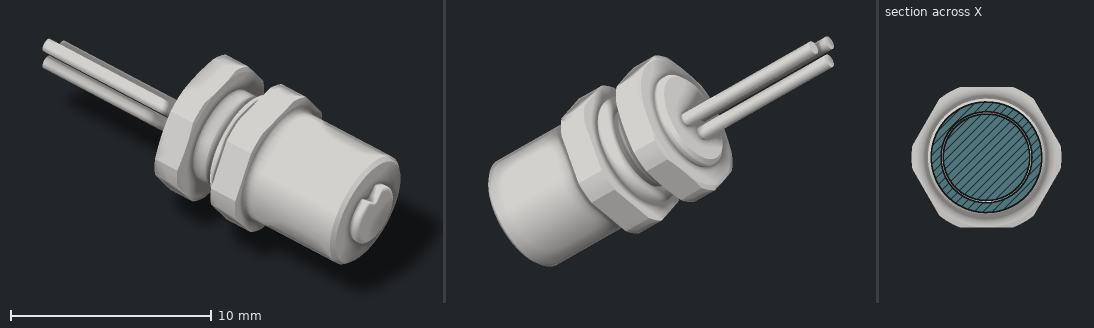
import cadquery as cq
import math

wire_length = 8.3
nut_gap = 0.5
hex_thickness = 1.5
flange_start = 12.3
shell_length = 5.5
insert_projection = 0.5

thread_start = wire_length
nut_start = thread_start + nut_gap
shell_start = flange_start + hex_thickness
shell_end = shell_start + shell_length
insert_end = shell_end + insert_projection

hex_across_flats = 7.0
hex_corner_diameter = 7.5
nut_bevel_angle = math.radians(15)

thread_radius = 5.0 / 2
thread_end = 11.1
thread_chamfer = 0.2
neck_radius = 4.35 / 2

ring_section_radius = 0.41
ring_centre_radius = 2.52
ring_centre_x = 11.9

shell_radius = 6.0 / 2
shell_chamfer = 0.2
shell_root_fillet = 0.22
insert_radius = 3.15 / 2
insert_fillet = 0.2

key_half_angle = math.radians(45)
key_root_radius = 0.21
key_half_width = 0.56
key_edge_fillet = 0.1
cutter_clearance = 0.2

wire_radius = 0.7 / 2
wire_offset = 1.25 / 2
wire_positions = [
    (-wire_offset, -wire_offset),
    (-wire_offset, wire_offset),
    (wire_offset, -wire_offset),
]


def cylinder(start, end, radius, y=0, z=0):
    """Solid cylinder along X between two stations."""
    return cq.Workplane("YZ", origin=(start, y, z)).circle(radius).extrude(end - start)


def hex_plate(start):
    """Hexagonal plate with flats facing +Z and -Z and its corners turned round."""
    across_corners = hex_across_flats / math.cos(math.pi / 6)
    plate = cq.Workplane("YZ", origin=(start, 0, 0)).polygon(6, across_corners).extrude(hex_thickness)
    return plate.intersect(cylinder(start, start + hex_thickness, hex_corner_diameter / 2))


def make_nut():
    """Hex nut with its corners bevelled on both faces."""
    corner_radius = hex_corner_diameter / 2
    bevel_depth = corner_radius - hex_across_flats / 2
    bevel_length = bevel_depth * math.tan(nut_bevel_angle)
    nut_end = nut_start + hex_thickness
    envelope = cylinder(nut_start, nut_end, corner_radius)
    envelope = envelope.faces("<X or >X").edges().chamfer(bevel_length, bevel_depth)
    return hex_plate(nut_start).intersect(envelope)


def make_stem():
    """Threaded stem tapering at 45 degrees to the neck under the O-ring."""
    taper = thread_radius - neck_radius
    profile = (
        cq.Workplane("XY")
        .moveTo(thread_start, 0)
        .lineTo(thread_start, thread_radius - thread_chamfer)
        .lineTo(thread_start + thread_chamfer, thread_radius)
        .lineTo(thread_end, thread_radius)
        .lineTo(thread_end + taper, neck_radius)
        .lineTo(shell_start, neck_radius)
        .lineTo(shell_start, 0)
        .close()
    )
    return profile.revolve(360, (0, 0, 0), (1, 0, 0))


def make_ring():
    """O-ring seated against the flange."""
    section = cq.Workplane("XY").center(ring_centre_x, ring_centre_radius).circle(ring_section_radius)
    return section.revolve(360, (0, -ring_centre_radius, 0), (1, -ring_centre_radius, 0))


def make_shell():
    """Cylindrical shell with a concave root at the flange and a chamfered mouth."""
    root_radius = shell_radius + shell_root_fillet
    arc_drop = shell_root_fillet * (1 - math.sqrt(0.5))
    profile = (
        cq.Workplane("XY")
        .moveTo(flange_start, 0)
        .lineTo(flange_start, root_radius)
        .lineTo(shell_start, root_radius)
        .threePointArc(
            (shell_start + arc_drop, shell_radius + arc_drop),
            (shell_start + shell_root_fillet, shell_radius),
        )
        .lineTo(shell_end - shell_chamfer, shell_radius)
        .lineTo(shell_end, shell_radius - shell_chamfer)
        .lineTo(shell_end, 0)
        .close()
    )
    return profile.revolve(360, (0, 0, 0), (1, 0, 0))


def make_key_groove():
    """Cutter for the V groove, with a round root tangent to both flanks."""
    slope = 1 / math.tan(key_half_angle)
    mouth_z = math.sqrt(insert_radius**2 - key_half_width**2)
    tangent_y = key_root_radius * math.cos(key_half_angle)
    tangent_z = mouth_z - (key_half_width - tangent_y) * slope
    root_z = tangent_z - key_root_radius * (1 - math.sin(key_half_angle))
    top_z = insert_radius + cutter_clearance
    top_y = key_half_width + (top_z - mouth_z) * slope
    return (
        cq.Workplane("YZ", origin=(shell_end, 0, 0))
        .moveTo(-top_y, top_z)
        .lineTo(-tangent_y, tangent_z)
        .threePointArc((0, root_z), (tangent_y, tangent_z))
        .lineTo(top_y, top_z)
        .close()
        .extrude(insert_projection)
    )


def make_insert():
    """Insert projecting from the shell, with a key groove and rounded edges."""
    insert = cylinder(shell_end, insert_end, insert_radius)
    insert = insert.faces(">X").edges().fillet(insert_fillet)
    insert = insert.cut(make_key_groove())
    groove_mouth = cq.selectors.BoxSelector(
        (shell_end + key_edge_fillet, -insert_radius / 2, 0),
        (insert_end + insert_fillet, insert_radius / 2, insert_radius),
    )
    mouth_lines = insert.edges(groove_mouth).edges("|X").edges(">Y or <Y")
    end_outline = insert.edges(groove_mouth).edges("not |X")
    return insert.newObject(mouth_lines.vals() + end_outline.vals()).fillet(key_edge_fillet)


result = make_stem()
for feature in (make_nut(), make_ring(), hex_plate(flange_start), make_shell(), make_insert()):
    result = result.union(feature)
for wire_y, wire_z in wire_positions:
    result = result.union(cylinder(0, nut_start, wire_radius, wire_y, wire_z))